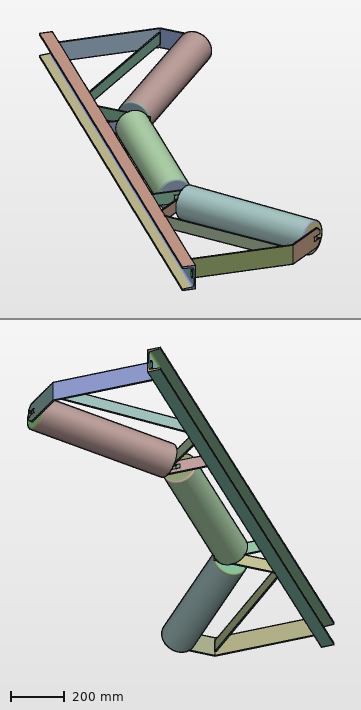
import cadquery as cq
import math

beam_length = 1900
beam_height = 100
beam_depth = 50
web_thickness = 6
flange_thickness = 8.5
flange_slope = 0.08
root_radius = 8.5
beam_slot_width = 18
beam_slot_length = 34
beam_slot_inset = 28

tube_radius = 133 / 2
tube_length = 569.4
tube_rounding = 6
tang_width = 17
tang_depth = 15
trough_angle = 40
forward_tilt = 2
centre_half_span = 293
side_half_span = 295
centre_roller_y = 116
side_roller_x = 558.7
side_roller_y = 320.4
side_roller_z = -10.3

strip_thickness = 6
outer_strip_width = 80
inner_strip_width = 50
slot_width = 18
post_x = 881
tip_margin = 29
tip_chamfer = 17
brace_width = 48
brace_foot_x = 490

trough = math.radians(trough_angle)
tilt = math.radians(forward_tilt)
plate_direction = 90 + trough_angle
axis_rise = side_half_span * math.tan(tilt)
centre_roller_z = side_roller_z - (tube_length / 2 - tube_rounding) * math.sin(tilt)


def point_on_side_roller(along):
    """Plan position on the side roller axis, measured outwards from the roller's middle."""
    return (side_roller_x + along * math.cos(trough), side_roller_y + along * math.sin(trough))


def plate_y_at(along, x):
    """Y where the plate square to the side roller axis, at that distance along it, passes x."""
    axis_x, axis_y = point_on_side_roller(along)
    return axis_y + (axis_x - x) / math.tan(trough)


def plate_x_at(along, y):
    """X where the plate square to the side roller axis, at that distance along it, passes y."""
    axis_x, axis_y = point_on_side_roller(along)
    return axis_x + (axis_y - y) * math.tan(trough)


outer_bend = (post_x, plate_y_at(side_half_span, post_x))
inner_bend = (centre_half_span, plate_y_at(-side_half_span, centre_half_span))


def make_beam():
    half_height = beam_height / 2
    flange_taper = flange_slope * (beam_depth - web_thickness) / 2
    toe_z = half_height - flange_thickness + flange_taper
    root_z = half_height - flange_thickness - flange_taper
    profile = (
        cq.Sketch()
        .polygon([
            (0, -half_height),
            (-beam_depth, -half_height),
            (-beam_depth, -toe_z),
            (-web_thickness, -root_z),
            (-web_thickness, root_z),
            (-beam_depth, toe_z),
            (-beam_depth, half_height),
            (0, half_height),
            (0, -half_height),
        ])
    )
    beam = cq.Workplane("YZ", origin=(-beam_length / 2, 0, 0)).placeSketch(profile).extrude(beam_length)
    inner_corners = [(0, -web_thickness, side * root_z) for side in (-1, 1)]
    for corner in inner_corners:
        beam = beam.edges(cq.selectors.NearestToPointSelector(corner)).fillet(root_radius)
    slots = (
        cq.Workplane("XZ")
        .pushPoints([(side * (beam_length / 2 - beam_slot_inset), 0) for side in (-1, 1)])
        .slot2D(beam_slot_length, beam_slot_width, 90)
        .extrude(web_thickness)
    )
    return beam.cut(slots)


def make_roller(half_span):
    """Roller along X, centred on the origin, its shaft ends flush with the outside of the plates."""
    tube = cq.Workplane("YZ", origin=(-tube_length / 2, 0, 0)).circle(tube_radius).extrude(tube_length)
    tube = tube.faces("<X or >X").edges().fillet(tube_rounding)
    shaft = cq.Workplane("XY").box(2 * half_span + strip_thickness, tang_depth, tang_width)
    return tube.union(shaft)


def make_centre_roller():
    return make_roller(centre_half_span).translate((0, centre_roller_y, centre_roller_z))


def make_side_roller():
    return (
        make_roller(side_half_span)
        .rotate((0, 0, 0), (0, 1, 0), -forward_tilt)
        .rotate((0, 0, 0), (0, 0, 1), trough_angle)
        .translate((side_roller_x, side_roller_y, side_roller_z))
    )


def make_strip(points, width, middle_z=0):
    """Flat strip standing on edge, its middle following the points, mitred where it bends."""
    half = strip_thickness / 2
    normals = []
    for start, end in zip(points, points[1:]):
        length = math.dist(start, end)
        normals.append(((start[1] - end[1]) / length, (end[0] - start[0]) / length))
    left_side = []
    right_side = []
    for point, before, after in zip(points, normals[:1] + normals, normals + normals[-1:]):
        mitre = half / (1 + before[0] * after[0] + before[1] * after[1])
        offset_x = mitre * (before[0] + after[0])
        offset_y = mitre * (before[1] + after[1])
        left_side.append((point[0] + offset_x, point[1] + offset_y))
        right_side.append((point[0] - offset_x, point[1] - offset_y))
    return (
        cq.Workplane("XY", origin=(0, 0, middle_z - width / 2))
        .polyline(left_side + right_side[::-1])
        .close()
        .extrude(width)
    )


def make_slot(axis, direction, z, length):
    """Cutter for a shaft slot: the shaft rests on its floor, and it opens along the direction."""
    return (
        cq.Workplane("XY")
        .box(length, 2 * strip_thickness, slot_width, centered=(False, True, True))
        .translate((-tang_depth / 2, 0, z))
        .rotate((0, 0, 0), (0, 0, 1), direction)
        .translate((axis[0], axis[1], 0))
    )


def trim_to_beam(body):
    behind_web = cq.Workplane("XY").box(beam_length, beam_depth, beam_height)
    return body.cut(behind_web.translate((0, -beam_depth / 2, 0)))


def make_outer_bracket():
    axis = point_on_side_roller(side_half_span)
    tip = (axis[0] - tip_margin * math.sin(trough), axis[1] + tip_margin * math.cos(trough))
    bracket = make_strip([(post_x, 0), outer_bend, tip], outer_strip_width)
    for side in (-1, 1):
        corner = (tip[0], tip[1], side * outer_strip_width / 2)
        bracket = bracket.edges(cq.selectors.NearestToPointSelector(corner)).chamfer(tip_chamfer)
    slot_length = tang_depth / 2 + tip_margin + strip_thickness
    return bracket.cut(make_slot(axis, plate_direction, side_roller_z + axis_rise, slot_length))


def make_inner_bracket():
    foot = (plate_x_at(-side_half_span, -strip_thickness), -strip_thickness)
    bracket = make_strip([(centre_half_span, 0), inner_bend, foot], inner_strip_width, centre_roller_z)
    seats = [
        (point_on_side_roller(-side_half_span), plate_direction, side_roller_z - axis_rise),
        ((centre_half_span, centre_roller_y), 90, centre_roller_z),
    ]
    for axis, direction, axis_z in seats:
        slot_length = tang_depth / 2 + math.dist(axis, inner_bend) + strip_thickness
        bracket = bracket.cut(make_slot(axis, direction, axis_z, slot_length))
    return trim_to_beam(bracket)


def make_brace(outer_bracket):
    """Strip from the beam to the outer bracket's bend, cut to fit against both."""
    lean = (outer_bend[0] - brace_foot_x) / outer_bend[1]
    foot = (brace_foot_x - lean * strip_thickness, -strip_thickness)
    return trim_to_beam(make_strip([foot, outer_bend], brace_width)).cut(outer_bracket)


beam = make_beam()
centre_roller = make_centre_roller()
side_roller = make_side_roller()
outer_bracket = make_outer_bracket()
inner_bracket = make_inner_bracket()
brace = make_brace(outer_bracket)

bodies = [beam, centre_roller]
for right_body in (side_roller, outer_bracket, inner_bracket, brace):
    bodies += [right_body, right_body.mirror("YZ")]
result = cq.Compound.makeCompound([solid for body in bodies for solid in body.solids().vals()])